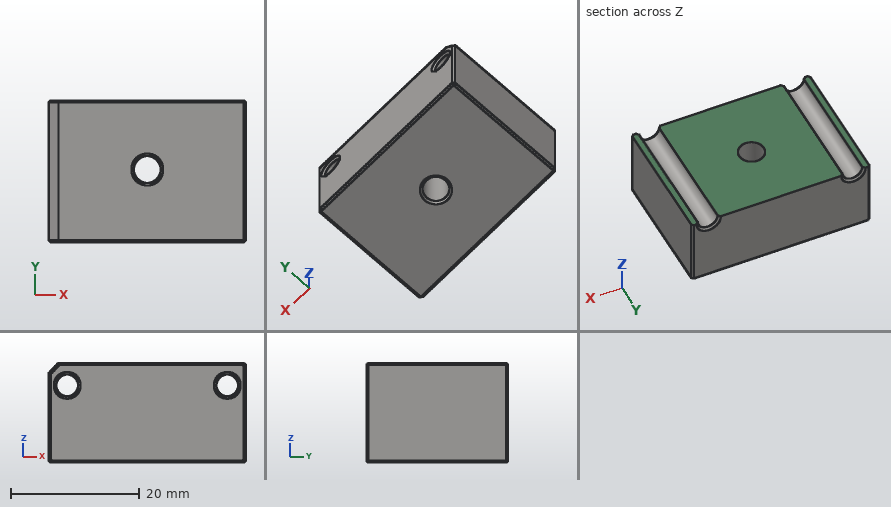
import cadquery as cq

length = 30.8
width = 22.18
height = 15.6
edge_chamfer = 0.35
bevel_run = 1.5
bevel_drop = 1.6

cross_hole_diameter = 3.4
cross_hole_mouth_diameter = 4.2
cross_hole_spacing = 25.0
cross_hole_depth_from_top = 3.5

center_hole_y = 0.28
center_hole_diameter = 4.2
center_hole_mouth_diameter = 5.0


def make_block():
    """Block with one large bevel on the -X top edge and small chamfers on the other edges."""
    left = -length / 2
    right = length / 2
    side_profile = [
        (left + edge_chamfer, 0),
        (right - edge_chamfer, 0),
        (right, edge_chamfer),
        (right, height - edge_chamfer),
        (right - edge_chamfer, height),
        (left + bevel_run, height),
        (left, height - bevel_drop),
        (left, edge_chamfer),
    ]
    block = cq.Workplane("XZ").polyline(side_profile).close().extrude(width / 2, both=True)
    return block.faces("<Y or >Y").edges().chamfer(edge_chamfer)


def make_through_cutter(diameter, mouth_diameter, depth):
    """Through-hole cutter along +Z from the origin, with 45 degree countersinks at both ends."""
    radius = diameter / 2
    mouth_radius = mouth_diameter / 2
    sink = mouth_radius - radius
    return (
        cq.Workplane("XZ")
        .polyline([
            (0, 0),
            (mouth_radius, 0),
            (radius, sink),
            (radius, depth - sink),
            (mouth_radius, depth),
            (0, depth),
        ])
        .close()
        .revolve(360, (0, 0, 0), (0, 1, 0))
    )


result = make_block()

center_hole_cutter = make_through_cutter(center_hole_diameter, center_hole_mouth_diameter, height)
result = result.cut(center_hole_cutter.translate((0, center_hole_y, 0)))

cross_hole_cutter = (
    make_through_cutter(cross_hole_diameter, cross_hole_mouth_diameter, width)
    .rotate((0, 0, 0), (1, 0, 0), -90)
    .translate((0, -width / 2, height - cross_hole_depth_from_top))
)
for side in (-1, 1):
    result = result.cut(cross_hole_cutter.translate((side * cross_hole_spacing / 2, 0, 0)))